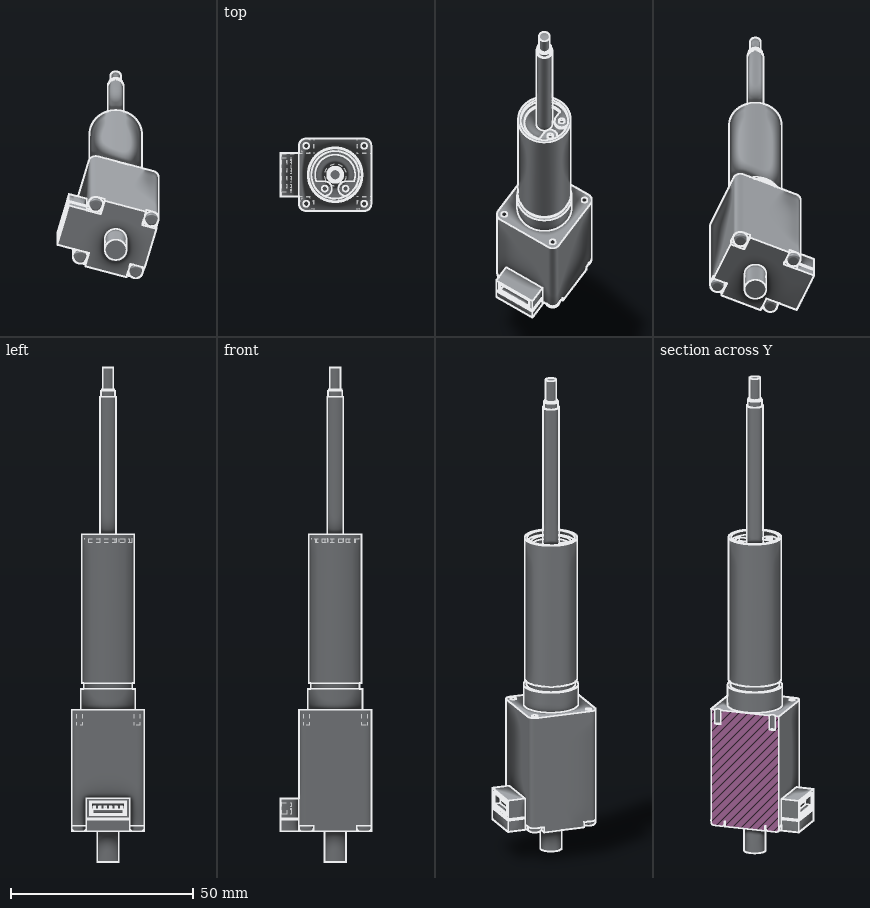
import cadquery as cq

total_height = 135.7
body_bottom = 8.4
body_top = 41.8
hub_top = 47.5
tube_bottom = 49.1
tube_top = 90.0
collar_bottom = 127.7
collar_top = 129.3
shoulder_top = 129.7

body_side = 20.0
corner_radius = 2.0

rear_shaft_diameter = 6.0
hub_diameter = 15.0
neck_diameter = 13.5
tube_diameter = 14.5
rod_diameter = 4.5
collar_diameter = 4.0
shoulder_diameter = 3.5
tip_diameter = 3.0

screw_spacing = 15.9
screw_hole_diameter = 1.6
screw_hole_depth = 4.1
screw_head_diameter = 4.0
screw_head_height = 1.5
screw_head_rounding = 0.8

pocket_diameter = 13.0
pocket_depth = 1.2
inner_pocket_diameter = 11.0
inner_pocket_depth = 1.0
lug_x = 2.8
lug_y = -3.8
lug_diameter = 4.0
lug_edge_y = lug_y + lug_diameter / 2
lug_hole_diameter = 1.6

connector_length = 5.0
connector_width = 12.0
connector_top = 17.5
groove_bottom = 11.7
groove_height = 0.4
groove_depth = 0.2
socket_width = 9.2
socket_height = 3.0
socket_bottom = 13.3
socket_depth = 3.0
mouth_margin = 0.4
mouth_depth = 0.2
ledge_width = 8.4
ledge_height = 1.2
ledge_setback = 1.8
pin_count = 6
pin_pitch = 1.5
pin_diameter = 0.6
pin_height = 15.0
pin_length = 1.4


def cylinder(diameter, bottom, top, x=0, y=0):
    """Upright cylinder between two heights."""
    return cq.Workplane("XY", origin=(x, y, bottom)).circle(diameter / 2).extrude(top - bottom)


def block(x_min, x_max, y_min, y_max, z_min, z_max):
    """Axis-aligned box given by its limits."""
    size = (x_max - x_min, y_max - y_min, z_max - z_min)
    return cq.Workplane("XY", origin=(x_min, y_min, z_min)).box(*size, centered=False)


def screw_corners(height):
    """Workplane at a height with one point on each screw axis."""
    plane = cq.Workplane("XY", origin=(0, 0, height))
    return plane.rect(screw_spacing, screw_spacing, forConstruction=True).vertices()


def make_body():
    """Motor body with a screw in each corner, its head sunk in a notch at the bottom."""
    height = body_top - body_bottom
    body = (
        cq.Workplane("XY", origin=(0, 0, body_bottom))
        .rect(body_side, body_side)
        .extrude(height)
        .edges("|Z")
        .fillet(corner_radius)
    )
    notch_side = body_side - screw_spacing
    notches = screw_corners(body_bottom).rect(notch_side, notch_side).extrude(screw_head_height)
    heads = screw_corners(body_bottom).circle(screw_head_diameter / 2).extrude(screw_head_height)
    heads = heads.faces("<Z").edges().fillet(screw_head_rounding)
    holes = screw_corners(body_top).circle(screw_hole_diameter / 2).extrude(-screw_hole_depth)
    return body.cut(notches).union(heads).cut(holes)


def make_tube_pocket():
    """Round pocket whose lower level leaves a rim with two screw lugs on the -Y side."""
    floor = tube_top - pocket_depth
    bottom = floor - inner_pocket_depth
    radius = pocket_diameter / 2
    inner = cylinder(inner_pocket_diameter, bottom, floor)
    inner = inner.intersect(block(-radius, radius, lug_edge_y, radius, bottom, floor))
    opening = cylinder(pocket_diameter, bottom, floor)
    opening = opening.intersect(block(-lug_x, lug_x, -radius, lug_edge_y, bottom, floor))
    inner = inner.union(opening)
    for x in (-lug_x, lug_x):
        inner = inner.cut(cylinder(lug_diameter, bottom, floor, x, lug_y))
        inner = inner.union(cylinder(lug_hole_diameter, bottom, floor, x, lug_y))
    return cylinder(pocket_diameter, floor, tube_top).union(inner)


def make_actuator():
    """Hub, neck and tube, with the stepped rod rising from the pocket in the tube."""
    hub = cylinder(hub_diameter, body_top, hub_top)
    neck = cylinder(neck_diameter, hub_top, tube_bottom)
    tube = cylinder(tube_diameter, tube_bottom, tube_top).cut(make_tube_pocket())
    rod = cylinder(rod_diameter, tube_bottom, collar_bottom)
    collar = cylinder(collar_diameter, collar_bottom, collar_top)
    shoulder = cylinder(shoulder_diameter, collar_top, shoulder_top)
    tip = cylinder(tip_diameter, shoulder_top, total_height)
    return hub.union(neck).union(tube).union(rod).union(collar).union(shoulder).union(tip)


def centred_block(x_min, x_max, width, z_min, height):
    """Box centred on the XZ plane."""
    return block(x_min, x_max, -width / 2, width / 2, z_min, z_min + height)


def make_connector():
    """Connector housing with a groove around it and an open socket holding a row of pins."""
    root_x = -body_side / 2
    face_x = root_x - connector_length
    housing = centred_block(face_x, root_x, connector_width, body_bottom, connector_top - body_bottom)

    core_width = connector_width - 2 * groove_depth
    groove = centred_block(face_x, root_x, connector_width, groove_bottom, groove_height)
    core = centred_block(face_x + groove_depth, root_x, core_width, groove_bottom, groove_height)
    housing = housing.cut(groove.cut(core))

    socket_back = face_x + socket_depth
    mouth = centred_block(
        face_x,
        face_x + mouth_depth,
        socket_width + 2 * mouth_margin,
        socket_bottom - mouth_margin,
        socket_height + 2 * mouth_margin,
    )
    socket = centred_block(face_x, socket_back, socket_width, socket_bottom, socket_height)
    ledge = centred_block(face_x + ledge_setback, socket_back, ledge_width, socket_bottom, ledge_height)
    housing = housing.cut(mouth).cut(socket).union(ledge)

    for i in range(pin_count):
        y = (i - (pin_count - 1) / 2) * pin_pitch
        pin = cq.Workplane("YZ", origin=(socket_back - pin_length, y, pin_height))
        housing = housing.union(pin.circle(pin_diameter / 2).extrude(pin_length))
    return housing


rear_shaft = cylinder(rear_shaft_diameter, 0, body_bottom)
result = make_body().union(rear_shaft).union(make_actuator()).union(make_connector())